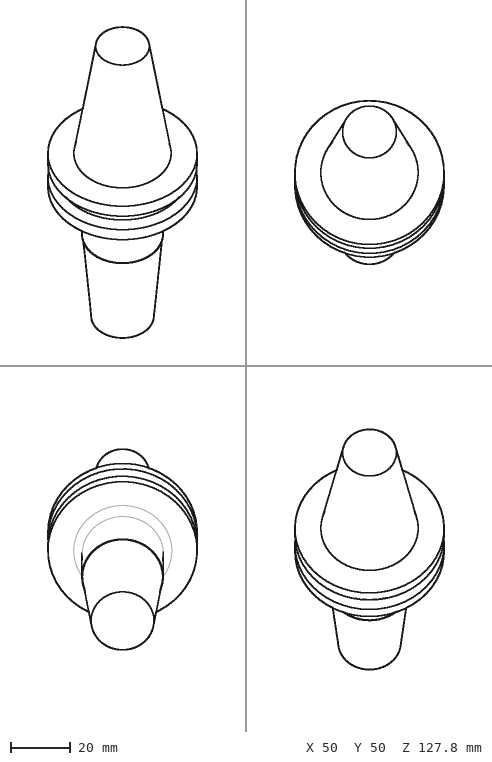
import cadquery as cq

total_height = 127.8
nose_cone_height = 38.5
neck_top = 58.3
flange_bottom = 61.1
flange_top = 76.9
lower_rim_height = 4.7
upper_rim_height = 4.7
groove_floor_bottom = 67.5
groove_floor_top = 70.7

flange_diameter = 50.0
groove_diameter = 44.1
shank_base_diameter = 32.6
shank_tip_diameter = 18.0
neck_diameter = 27.2
nose_base_diameter = 26.8
nose_tip_diameter = 21.1

neck_fillet = flange_bottom - neck_top

profile = (
    cq.Workplane("XZ")
    .lineTo(nose_tip_diameter / 2, 0)
    .lineTo(nose_base_diameter / 2, nose_cone_height)
    .lineTo(neck_diameter / 2, nose_cone_height)
    .lineTo(neck_diameter / 2, neck_top)
    .radiusArc((neck_diameter / 2 + neck_fillet, flange_bottom), neck_fillet)
    .lineTo(flange_diameter / 2, flange_bottom)
    .lineTo(flange_diameter / 2, flange_bottom + lower_rim_height)
    .lineTo(groove_diameter / 2, groove_floor_bottom)
    .lineTo(groove_diameter / 2, groove_floor_top)
    .lineTo(flange_diameter / 2, flange_top - upper_rim_height)
    .lineTo(flange_diameter / 2, flange_top)
    .lineTo(shank_base_diameter / 2, flange_top)
    .lineTo(shank_tip_diameter / 2, total_height)
    .lineTo(0, total_height)
    .close()
)

result = profile.revolve(360, (0, 0, 0), (0, 1, 0))